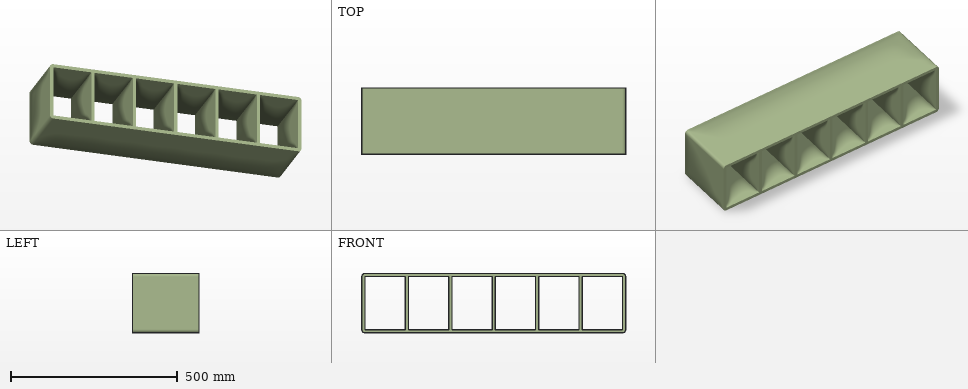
import cadquery as cq

length = 793.0
depth = 200.0
height = 179.0

wall = 10.0
corner_radius = 10.0
cell_count = 6

cell_pitch = (length - wall) / cell_count
cell_width = cell_pitch - wall
cell_height = height - 2 * wall


def make_body():
    """Solid block with its four long-depth edges rounded."""
    return cq.Workplane("XY").box(length, depth, height).edges("|Y").fillet(corner_radius)


def cut_cells(body):
    """Cut a row of equal cells right through from front to back."""
    return (
        body.faces("<Y")
        .workplane(centerOption="CenterOfBoundBox")
        .rarray(cell_pitch, 8, cell_count, 1)
        .rect(cell_width, cell_height)
        .cutThruAll()
    )


result = cut_cells(make_body())